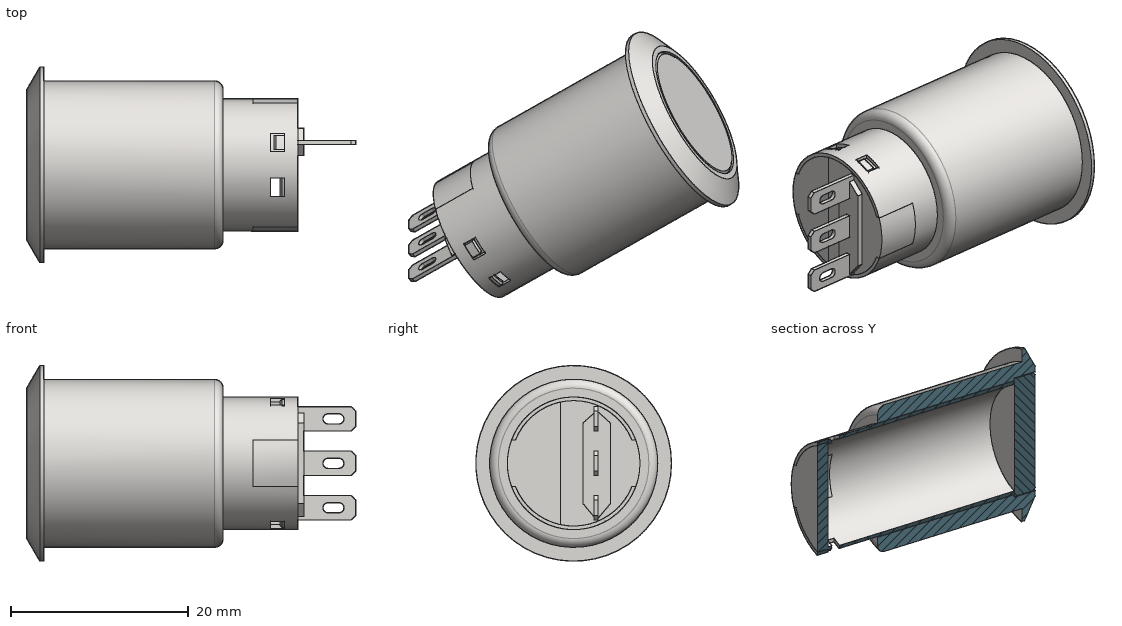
import cadquery as cq

total_length = 37.0

flange_diameter = 22.0
bezel_face_diameter = 16.9
barrel_diameter = 18.9
bezel_cone_length = 1.48
flange_back = 1.92
barrel_back = 22.1
barrel_fillet = 1.0
button_bore_diameter = 15.55

button_diameter = 15.5
button_chamfer = 0.3
button_length = 2.95

sleeve_diameter = 14.9
sleeve_wall = 0.4
sleeve_back = 30.5
window_front = 27.4
window_back = 29.0
window_width = 2.05
window_offset = 2.5
tab_front = 25.42
tab_width = 5.2

latch_diameter = 14.7
latch_chamfer = 0.22
hook_front = 28.45
hook_depth = 0.5
tongue_front = 27.8
tongue_width = 1.55

boss_width = 3.1
boss_offset = 2.6
boss_side_length = 9.03
boss_upper_peak = 5.92
boss_lower_peak = -6.35
boss_height = 0.65

terminal_count = 3
terminal_pitch = 5.0
terminal_width = 2.78
terminal_thickness = 0.48
terminal_chamfer = 0.5
terminal_insertion = 1.85
eyelet_length = 2.33
eyelet_width = 1.1
eyelet_center = 34.5

sleeve_front = button_length
sleeve_bore_diameter = sleeve_diameter - 2 * sleeve_wall
core_side = window_width / 2 - window_offset
terminal_front = sleeve_back - terminal_insertion
terminal_length = total_length - terminal_front


def x_cylinder(diameter, start, end):
    """Cylinder on the switch axis from X = start to X = end."""
    return cq.Workplane("YZ", origin=(start, 0, 0)).circle(diameter / 2).extrude(end - start)


def x_block(start, end, y_min, y_max, z_size):
    """Block between the given X and Y limits, centred on Z = 0."""
    return (
        cq.Workplane("XY")
        .box(end - start, y_max - y_min, z_size, centered=(False, False, True))
        .translate((start, y_min, 0))
    )


def latch(start, y_center, width):
    """Bar across the axis whose two rounded, front-chamfered ends stand in opposite windows."""
    disc = x_cylinder(latch_diameter, start, window_back).faces("<X").chamfer(latch_chamfer)
    bar = x_block(start, window_back, y_center - width / 2, y_center + width / 2, latch_diameter)
    return disc.intersect(bar)


def tab(side):
    """Curved tab that fills the sleeve notch on the +Y (side = 1) or -Y (side = -1) side."""
    radius = sleeve_diameter / 2
    y_min, y_max = sorted((0, side * radius))
    wall = x_cylinder(sleeve_diameter, tab_front, sleeve_back)
    wall = wall.cut(x_cylinder(sleeve_bore_diameter, tab_front, sleeve_back))
    return wall.intersect(x_block(tab_front, sleeve_back, y_min, y_max, tab_width))


def make_housing():
    """Conical bezel, flange and barrel, bored for the button in front and the sleeve behind."""
    flange_radius = flange_diameter / 2
    barrel_radius = barrel_diameter / 2
    outline = (
        cq.Workplane("XY")
        .moveTo(0, 0)
        .lineTo(0, bezel_face_diameter / 2)
        .lineTo(bezel_cone_length, flange_radius)
        .lineTo(flange_back, flange_radius)
        .lineTo(flange_back, barrel_radius)
        .lineTo(barrel_back, barrel_radius)
        .lineTo(barrel_back, 0)
        .close()
    )
    body = outline.revolve(360, (0, 0, 0), (1, 0, 0)).faces(">X").edges().fillet(barrel_fillet)
    body = body.cut(x_cylinder(button_bore_diameter, 0, button_length))
    return body.cut(x_cylinder(sleeve_diameter, sleeve_front, barrel_back))


def make_button():
    """Flat round button, flush with the bezel, with a chamfered rim."""
    return x_cylinder(button_diameter, 0, button_length).faces("<X").chamfer(button_chamfer)


def make_sleeve():
    """Tube with two window pairs through top and bottom and an open notch on each side."""
    tube = x_cylinder(sleeve_diameter, sleeve_front, sleeve_back)
    tube = tube.cut(x_cylinder(sleeve_bore_diameter, sleeve_front, sleeve_back))
    for side in (-1, 1):
        center = side * window_offset
        near, far = center - window_width / 2, center + window_width / 2
        tube = tube.cut(x_block(window_front, window_back, near, far, sleeve_diameter))
        tube = tube.cut(tab(side))
    return tube


def make_terminal(z_center):
    """Flat solder tag with chamfered end corners and an oblong eyelet."""
    plate = (
        cq.Workplane("XY")
        .box(terminal_length, terminal_thickness, terminal_width, centered=(False, True, True))
        .faces(">X")
        .edges("|Y")
        .chamfer(terminal_chamfer)
    )
    eyelet = (
        cq.Workplane("XZ")
        .center(eyelet_center - terminal_front, 0)
        .slot2D(eyelet_length, eyelet_width)
        .extrude(terminal_thickness, both=True)
    )
    return plate.cut(eyelet).translate((terminal_front, window_offset, z_center))


def make_boss():
    """Six-sided boss that rises from the back face around the terminals."""
    half_width = boss_width / 2
    half_side = boss_side_length / 2
    return (
        cq.Workplane("YZ", origin=(sleeve_back, boss_offset, 0))
        .moveTo(0, boss_upper_peak)
        .lineTo(half_width, half_side)
        .lineTo(half_width, -half_side)
        .lineTo(0, boss_lower_peak)
        .lineTo(-half_width, -half_side)
        .lineTo(-half_width, half_side)
        .close()
        .extrude(boss_height)
    )


def make_core(terminals):
    """Switch insert in the +Y part of the sleeve, with tongues, side tab, boss and tag slots."""
    bore_radius = sleeve_bore_diameter / 2
    body = x_cylinder(sleeve_bore_diameter, sleeve_front, sleeve_back)
    body = body.intersect(
        x_block(sleeve_front, sleeve_back, core_side, bore_radius, sleeve_bore_diameter)
    )
    body = body.union(latch(tongue_front, window_offset, tongue_width)).union(tab(1)).union(make_boss())
    for terminal in terminals:
        body = body.cut(terminal)
    return body


def make_cover():
    """Rear plate closing the -Y part of the sleeve, with window hooks and a side tab."""
    bore_radius = sleeve_bore_diameter / 2
    plate = x_cylinder(sleeve_bore_diameter, window_back, sleeve_back)
    plate = plate.intersect(
        x_block(window_back, sleeve_back, -bore_radius, core_side, sleeve_bore_diameter)
    )
    hooks = latch(hook_front, -window_offset, window_width)
    hooks = hooks.cut(x_cylinder(latch_diameter - 2 * hook_depth, hook_front, window_back))
    return plate.union(hooks).union(tab(-1))


housing = make_housing()
button = make_button()
sleeve = make_sleeve()
terminals = [
    make_terminal((index - (terminal_count - 1) / 2) * terminal_pitch)
    for index in range(terminal_count)
]
core = make_core(terminals)
cover = make_cover()

bodies = [housing, button, sleeve, core, cover, *terminals]

result = cq.Compound.makeCompound([body.solids().val() for body in bodies])